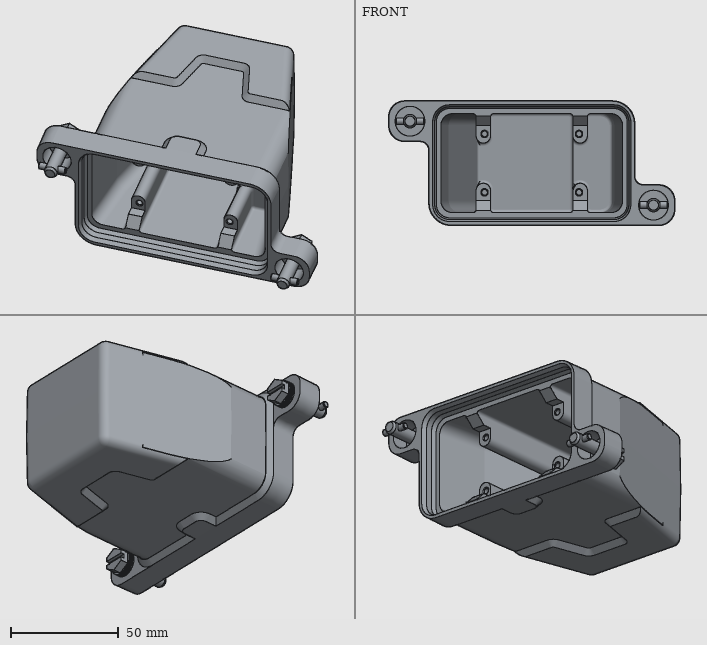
import cadquery as cq
import math


FLANGE_DEPTH = 12.2
FLANGE_HALF_X = 47.9
HALF_HEIGHT = 29.0
FLANGE_CORNER_R = 10.6
EAR_REACH = 66.5
EAR_INNER_Z = 10.0
EAR_CORNER_R = 7.6
EAR_ROOT_R = 4.0
FLANGE_DRAFT_ANGLE = 1.0
FLARE_DEPTH = 2.4

BODY_INSET = 2.8
BODY_HALF_X = FLANGE_HALF_X - BODY_INSET
BODY_HALF_Z = HALF_HEIGHT - BODY_INSET
BODY_CORNER_R = 8.6
SLOPE_START_Y = 35.8
BACK_Y = 100.0
SIDE_SLOPE = math.tan(math.radians(15))
BACK_HALF_X = BODY_HALF_X - (BACK_Y - SLOPE_START_Y) * SIDE_SLOPE
DRAFT_ANGLE = 0.8
CROWN_EDGE_R = 4.4

STEP_Y = 57.5
NOTCH_Y = 77.1
NOTCH_HALF_X = 10.1
NOTCH_ROOT_HALF_X = NOTCH_HALF_X + (NOTCH_Y - STEP_Y) * SIDE_SLOPE
NOTCH_END_R = 1.3
NOTCH_ROOT_R = 4.3

PAD_HALF_X = 7.3
PAD_END_Y = 22.0
PAD_CORNER_R = 3.5

LIP_HALF_X = 46.0
LIP_HALF_Z = 27.1
LIP_CORNER_R = 8.0
LIP_LEAD_IN = 0.9
LIP_LEAD_IN_DEPTH = 2.4
LIP_STRAIGHT_END_Y = 5.9
LIP_INNER_TAPER = 0.8
LEDGE_Y = 8.2

CAVITY_MOUTH_HALF_X = 42.2
CAVITY_HALF_X = 38.5
CAVITY_HALF_Z = 23.0
CAVITY_R = 5.5
SHALLOW_FLOOR_Y = 40.3
DEEP_FLOOR_Y = 86.2
FLOOR_R = 1.5

RIB_X = 22.5
RIB_WIDTH = 6.6
RIB_ROOT_R = 1.6
RIB_TIP_Z = 9.3
DEEP_HALF_X = RIB_X - RIB_WIDTH / 2
RIB_FACE_Y = 17.7
RIB_SHELF_Y = 13.0
RIB_SHELF_Z = 17.4
RIB_FOOT_Z = 22.0
SCREW_X = 22.0
SCREW_Z = 13.5
SCREW_DIAMETER = 2.7
SCREW_MOUTH_DIAMETER = 3.5
SCREW_DEPTH = 10.6

BOLT_X = 56.5
BOLT_Z = (HALF_HEIGHT + EAR_INNER_Z) / 2
SHAFT_DIAMETER = 6.3
TOTAL_DEPTH = 110.9
BOLT_TIP_Y = BACK_Y - TOTAL_DEPTH
TIP_CHAMFER_LENGTH = 1.3
TIP_CHAMFER = 0.8
CROSS_PIN_DIAMETER = 3.2
CROSS_PIN_LENGTH = 13.2
CROSS_PIN_Y = -6.8
CROSS_PIN_CHAMFER = 0.4
WASHER_DIAMETER = 12.4
WASHER_CORE_DIAMETER = 11.6
WASHER_STACK = 3.0
WASHER_COUNT = 3
WASHER_THICKNESS = 0.7
HEAD_ACROSS_FLATS = 10.2
HEAD_HEIGHT = 4.0
HEAD_SLOT_WIDTH = 2.1
HEAD_SLOT_DEPTH = 1.7
COUNTERBORE_DIAMETER = 13.8
COUNTERBORE_DEPTH = 9.3


def section_plane(y):
    """Workplane across the hood at y: local x is +X, local y is -Z, extrusion goes to +Y."""
    return cq.Workplane(cq.Plane(origin=(0, y, 0), xDir=(1, 0, 0), normal=(0, 1, 0)))


def rounded_prism(y, half_x, half_z, radius, depth, taper=0):
    """Rounded rectangle across the hood, extruded from y toward +Y."""
    outline = cq.Sketch().rect(2 * half_x, 2 * half_z).vertices().fillet(radius)
    return section_plane(y).placeSketch(outline).extrude(depth, taper=taper)


def rounded_loft(y_front, front, y_back, back):
    """Loft between two rounded rectangles given as (half_x, half_z, radius)."""
    sketches = []
    for y, (half_x, half_z, radius) in ((y_front, front), (y_back, back)):
        outline = cq.Sketch().rect(2 * half_x, 2 * half_z).vertices().fillet(radius)
        sketches.append(outline.moved(cq.Location(cq.Vector(0, 0, y))))
    return section_plane(0).placeSketch(*sketches).loft()


def turned(x, y):
    """The point and its half-turn copy about the origin."""
    return [(x, y), (-x, -y)]


def make_flange():
    """Drafted flange with an ear at -X, +Z and another at +X, -Z."""
    ear_height = HALF_HEIGHT - EAR_INNER_Z
    outline = (
        cq.Sketch()
        .rect(2 * FLANGE_HALF_X, 2 * HALF_HEIGHT)
        .push(turned(-EAR_REACH / 2, -BOLT_Z))
        .rect(EAR_REACH, ear_height)
        .reset()
        .clean()
    )
    corners = (
        (FLANGE_HALF_X, -HALF_HEIGHT, FLANGE_CORNER_R),
        (-EAR_REACH, -HALF_HEIGHT, EAR_CORNER_R),
        (-EAR_REACH, -EAR_INNER_Z, EAR_CORNER_R),
        (-FLANGE_HALF_X, -EAR_INNER_Z, EAR_ROOT_R),
    )
    for corner_x, corner_y, radius in corners:
        for x, y in turned(corner_x, corner_y):
            outline = outline.vertices(cq.NearestToPointSelector((x, y, 0))).fillet(radius).reset()
    flange = section_plane(FLANGE_DEPTH).placeSketch(outline).extrude(-FLANGE_DEPTH, taper=FLANGE_DRAFT_ANGLE)
    flare_angle = math.degrees(math.atan2(BODY_INSET, FLARE_DEPTH))
    flare = rounded_prism(
        FLANGE_DEPTH, FLANGE_HALF_X, HALF_HEIGHT, FLANGE_CORNER_R, FLARE_DEPTH, taper=flare_angle
    )
    return flange.union(flare)


def make_hood_half():
    """Trapezoid outline of the hood, drafted upward from the parting plane."""
    return (
        cq.Workplane("XY")
        .polyline(
            [
                (-BODY_HALF_X, 0),
                (BODY_HALF_X, 0),
                (BODY_HALF_X, SLOPE_START_Y),
                (BACK_HALF_X, BACK_Y),
                (-BACK_HALF_X, BACK_Y),
                (-BODY_HALF_X, SLOPE_START_Y),
            ]
        )
        .close()
        .extrude(HALF_HEIGHT, taper=DRAFT_ANGLE)
    )


def make_step_cutter():
    """Material above the body face in front of the notched step, with 45 degree walls."""
    clear_x = 2 * BODY_HALF_X
    outline = (
        cq.Sketch()
        .polygon(
            [
                (-clear_x, 0),
                (clear_x, 0),
                (clear_x, STEP_Y),
                (NOTCH_ROOT_HALF_X, STEP_Y),
                (NOTCH_HALF_X, NOTCH_Y),
                (-NOTCH_HALF_X, NOTCH_Y),
                (-NOTCH_ROOT_HALF_X, STEP_Y),
                (-clear_x, STEP_Y),
                (-clear_x, 0),
            ]
        )
    )
    corners = (
        (NOTCH_ROOT_HALF_X, STEP_Y, NOTCH_ROOT_R),
        (NOTCH_HALF_X, NOTCH_Y, NOTCH_END_R),
    )
    for corner_x, y, radius in corners:
        for x in (-corner_x, corner_x):
            outline = outline.vertices(cq.NearestToPointSelector((x, y, 0))).fillet(radius).reset()
    return (
        cq.Workplane("XY", origin=(0, 0, BODY_HALF_Z))
        .placeSketch(outline)
        .extrude(HALF_HEIGHT - BODY_HALF_Z, taper=-45)
    )


def make_crown():
    """Raised rear part of the hood, rounded along its rim and its back corners."""
    behind_step = cq.Workplane("XY", origin=(0, STEP_Y, 0)).box(
        4 * BODY_HALF_X, BACK_Y, 4 * HALF_HEIGHT, centered=(True, False, True)
    )
    half = make_hood_half().intersect(behind_step)
    rim = half.faces(">Z").edges("not <Y")
    back_corners = half.faces(">Y").edges("<X or >X")
    half = half.newObject(rim.vals() + back_corners.vals()).fillet(CROWN_EDGE_R)
    half = half.cut(make_step_cutter())
    return half.union(half.mirror("XY"))


def make_body():
    """Lower-profile body in front of the crown, running back under it."""
    depth = NOTCH_Y + BODY_INSET - FLANGE_DEPTH
    section = rounded_prism(FLANGE_DEPTH, BODY_HALF_X, BODY_HALF_Z, BODY_CORNER_R, depth)
    half = section.intersect(make_hood_half())
    return half.union(half.mirror("XY"))


def make_pad():
    """Raised pad on the +Z face, with 45 degree walls flaring to the body face."""
    outline = cq.Sketch().rect(2 * PAD_HALF_X, 2 * PAD_END_Y).vertices().fillet(PAD_CORNER_R)
    pad = (
        cq.Workplane("XY", origin=(0, 0, HALF_HEIGHT))
        .placeSketch(outline)
        .extrude(-(HALF_HEIGHT - BODY_HALF_Z), taper=-45)
    )
    behind_flange = cq.Workplane("XY", origin=(0, FLANGE_DEPTH, 0)).box(
        4 * PAD_HALF_X, 2 * PAD_END_Y, 4 * HALF_HEIGHT, centered=(True, False, True)
    )
    return pad.intersect(behind_flange)


def make_lip_cutter():
    """Mouth opening: a lead-in, a straight band and a taper down to the ledge."""
    straight_x = LIP_HALF_X - LIP_LEAD_IN
    straight_z = LIP_HALF_Z - LIP_LEAD_IN
    straight_r = LIP_CORNER_R - LIP_LEAD_IN
    straight = (straight_x, straight_z, straight_r)
    inner = tuple(size - LIP_INNER_TAPER for size in straight)
    lead_in = rounded_loft(0, (LIP_HALF_X, LIP_HALF_Z, LIP_CORNER_R), LIP_LEAD_IN_DEPTH, straight)
    middle = rounded_prism(LIP_LEAD_IN_DEPTH, *straight, LIP_STRAIGHT_END_Y - LIP_LEAD_IN_DEPTH)
    taper = rounded_loft(LIP_STRAIGHT_END_Y, straight, LEDGE_Y, inner)
    return lead_in.union(middle).union(taper)


def make_rib(x_side, z_side):
    """Rib as long as the cavity, with a rounded tip and rounded roots at the wall."""
    half_width = RIB_WIDTH / 2
    tip_center = RIB_TIP_Z + half_width
    root_start = CAVITY_HALF_Z - RIB_ROOT_R
    root_half_width = half_width + RIB_ROOT_R
    root_arc_x = root_half_width - RIB_ROOT_R * math.sin(math.pi / 4)
    root_arc_z = root_start + RIB_ROOT_R * math.sin(math.pi / 4)
    rib = (
        section_plane(0)
        .moveTo(-root_half_width, -CAVITY_HALF_Z)
        .threePointArc((-root_arc_x, -root_arc_z), (-half_width, -root_start))
        .lineTo(-half_width, -tip_center)
        .threePointArc((0, -RIB_TIP_Z), (half_width, -tip_center))
        .lineTo(half_width, -root_start)
        .threePointArc((root_arc_x, -root_arc_z), (root_half_width, -CAVITY_HALF_Z))
        .lineTo(root_half_width, -HALF_HEIGHT)
        .lineTo(-root_half_width, -HALF_HEIGHT)
        .close()
        .extrude(BACK_Y)
    )
    if z_side < 0:
        rib = rib.mirror("XY")
    return rib.translate((x_side * RIB_X, 0, 0))


def make_rib_relief(x_side, z_side):
    """Space in front of a rib: its screw face, then a shelf and a slope down to the ledge."""
    side_outline = [
        (LEDGE_Y, 0),
        (RIB_FACE_Y, 0),
        (RIB_FACE_Y, z_side * RIB_SHELF_Z),
        (RIB_SHELF_Y, z_side * RIB_SHELF_Z),
        (LEDGE_Y, z_side * RIB_FOOT_Z),
    ]
    return (
        cq.Workplane("YZ", origin=(x_side * RIB_X, 0, 0))
        .polyline(side_outline)
        .close()
        .extrude(RIB_WIDTH / 2, both=True)
    )


def make_cavity_cutter():
    """Cavity behind the ledge, with a shallow floor at +X and a deep pocket beside it."""
    shallow_x = CAVITY_HALF_X - (SHALLOW_FLOOR_Y - SLOPE_START_Y) * SIDE_SLOPE
    deep_x = CAVITY_HALF_X - (DEEP_FLOOR_Y - SLOPE_START_Y) * SIDE_SLOPE
    cavity = (
        cq.Workplane("XY")
        .polyline(
            [
                (-CAVITY_MOUTH_HALF_X, LEDGE_Y),
                (CAVITY_MOUTH_HALF_X, LEDGE_Y),
                (CAVITY_HALF_X, SLOPE_START_Y),
                (shallow_x, SHALLOW_FLOOR_Y),
                (DEEP_HALF_X, SHALLOW_FLOOR_Y),
                (DEEP_HALF_X, DEEP_FLOOR_Y),
                (-deep_x, DEEP_FLOOR_Y),
                (-CAVITY_HALF_X, SLOPE_START_Y),
            ]
        )
        .close()
        .extrude(CAVITY_HALF_Z, both=True)
    )
    side_wall_edges = cavity.edges("#Z").filter(
        lambda edge: abs(edge.Center().x) > DEEP_HALF_X + RIB_WIDTH and edge.Center().y > LEDGE_Y + FLOOR_R
    ).edges("not |X")
    cavity = side_wall_edges.fillet(CAVITY_R)

    sides = [(x_side, z_side) for x_side in (-1, 1) for z_side in (-1, 1)]
    for x_side, z_side in sides:
        cavity = cavity.cut(make_rib(x_side, z_side))
    cavity = cavity.faces(">Y").edges().fillet(FLOOR_R)
    shallow_edges = (
        cavity.faces("|Y")
        .filter(lambda face: abs(face.Center().y - SHALLOW_FLOOR_Y) < FLOOR_R)
        .edges()
        .filter(lambda edge: edge.Center().x > DEEP_HALF_X + FLOOR_R)
    )
    cavity = shallow_edges.fillet(FLOOR_R)
    for x_side, z_side in sides:
        cavity = cavity.union(make_rib_relief(x_side, z_side))
    return cavity


def make_screw_hole(x, z):
    """Blind hole in a rib face with a small countersink."""
    countersink_depth = (SCREW_MOUTH_DIAMETER - SCREW_DIAMETER) / 2
    hole = section_plane(RIB_FACE_Y).center(x, -z).circle(SCREW_DIAMETER / 2).extrude(SCREW_DEPTH)
    countersink = (
        section_plane(RIB_FACE_Y).center(x, -z).circle(SCREW_MOUTH_DIAMETER / 2)
        .extrude(countersink_depth, taper=45)
    )
    return hole.union(countersink)


def make_bolt_hole(x, z):
    """Shaft hole through an ear, counterbored from the mouth side."""
    counterbore = section_plane(0).center(x, -z).circle(COUNTERBORE_DIAMETER / 2).extrude(COUNTERBORE_DEPTH)
    shaft_hole = section_plane(0).center(x, -z).circle(SHAFT_DIAMETER / 2).extrude(FLANGE_DEPTH)
    return counterbore.union(shaft_hole)


def make_housing():
    pad = make_pad()
    housing = make_flange().union(make_body()).union(make_crown()).union(pad).union(pad.mirror("XY"))
    housing = housing.cut(make_lip_cutter()).cut(make_cavity_cutter())
    for x in (-SCREW_X, SCREW_X):
        for z in (-SCREW_Z, SCREW_Z):
            housing = housing.cut(make_screw_hole(x, z))
    for side in (-1, 1):
        housing = housing.cut(make_bolt_hole(side * BOLT_X, -side * BOLT_Z))
    return housing


def make_bolt(x, z):
    """Slotted hex bolt with a washer stack and a cross pin near its tip."""
    washer_end_y = FLANGE_DEPTH + WASHER_STACK
    head_end_y = washer_end_y + HEAD_HEIGHT
    shaft = (
        section_plane(BOLT_TIP_Y).circle(SHAFT_DIAMETER / 2).extrude(washer_end_y - BOLT_TIP_Y)
        .faces("<Y").chamfer(TIP_CHAMFER_LENGTH, TIP_CHAMFER)
    )
    cross_pin = (
        cq.Workplane("YZ", origin=(-CROSS_PIN_LENGTH / 2, CROSS_PIN_Y, 0))
        .circle(CROSS_PIN_DIAMETER / 2)
        .extrude(CROSS_PIN_LENGTH)
        .faces("<X or >X")
        .chamfer(CROSS_PIN_CHAMFER)
    )
    bolt = shaft.union(cross_pin)
    washer_core = section_plane(FLANGE_DEPTH).circle(WASHER_CORE_DIAMETER / 2).extrude(WASHER_STACK)
    bolt = bolt.union(washer_core)
    washer_pitch = (WASHER_STACK - WASHER_THICKNESS) / (WASHER_COUNT - 1)
    for i in range(WASHER_COUNT):
        washer_y = FLANGE_DEPTH + i * washer_pitch
        bolt = bolt.union(section_plane(washer_y).circle(WASHER_DIAMETER / 2).extrude(WASHER_THICKNESS))
    head_across_corners = HEAD_ACROSS_FLATS / math.cos(math.pi / 6)
    head = (
        section_plane(washer_end_y).polygon(6, head_across_corners).extrude(HEAD_HEIGHT)
        .rotate((0, 0, 0), (0, 1, 0), 30)
    )
    slot = section_plane(head_end_y - HEAD_SLOT_DEPTH).rect(
        2 * HEAD_ACROSS_FLATS, HEAD_SLOT_WIDTH).extrude(HEAD_SLOT_DEPTH)
    return bolt.union(head.cut(slot)).translate((x, 0, z))


housing = make_housing()
bolts = [make_bolt(side * BOLT_X, -side * BOLT_Z) for side in (-1, 1)]

result = cq.Compound.makeCompound([housing.val(), *[bolt.val() for bolt in bolts]])